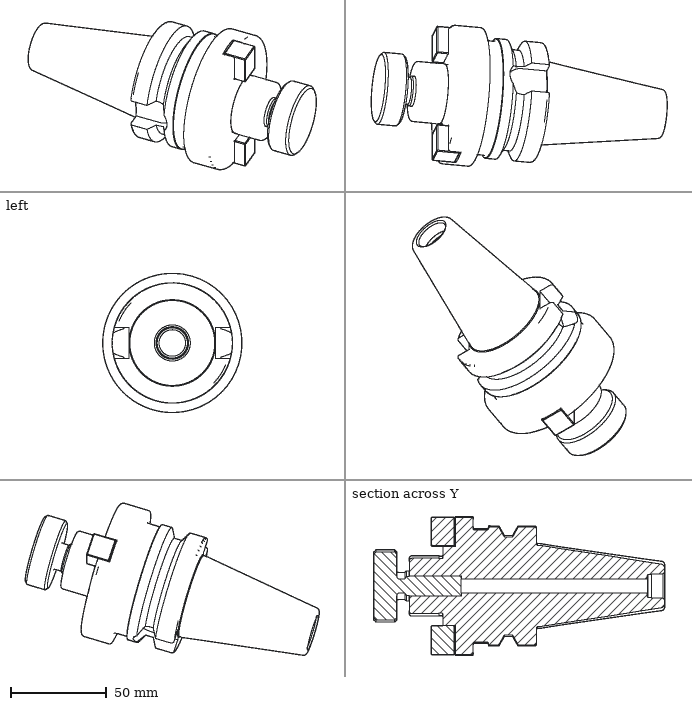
import cadquery as cq
import math


taper_end_x = 65.2
flange_start_x = 67.0
groove_start_x = 76.8
groove_mid_x = 81.8
flange_end_x = 92.4
disc_start_x = 100.3
disc_end_x = 116.3
spigot_end_x = 133.8

taper_ratio = 7 / 24
gauge_radius = 22.3
taper_small_radius = gauge_radius - taper_end_x * taper_ratio / 2
flange_radius = 31.5
groove_radius = 26.5
collar_radius = 60.0 / 2
disc_radius = 73.0 / 2
spigot_radius = 31.7 / 2
relief_radius = 31.2 / 2
groove_half_angle = math.radians(30)

taper_tip_round = 2.0
round_edge = 1.4
disc_back_round = 0.8
disc_front_round = 1.8
corner_round = 0.8
flange_back_chamfer = 0.3
neck_round = 0.5
relief_length = 2.0

flank_length = (flange_radius - groove_radius) * math.tan(groove_half_angle)
groove_floor_start_x = groove_start_x + flank_length
groove_floor_end_x = 2 * groove_mid_x - groove_floor_start_x
groove_end_x = groove_floor_end_x + flank_length

slot_width = 16.2
slot_end_x = 88.7
slot_floor_y = 22.5

key_start_x = 110.0
key_end_x = 122.4
key_width = 12.5
key_inner_z = 20.7
key_outer_z = 36.1
key_chamfer = 0.5
key_back_gap = 0.5

mouth_diameter = 18.9
counterbore_diameter = 17.0
mouth_chamfer_length = 0.9
counterbore_depth = 6.9
seat_diameter = 16.8
seat_depth = 9.1
seat_chamfer = 0.5
thread_bore_diameter = 13.9

screw_diameter = 15.8
screw_start_x = 106.7
thread_end_x = 135.3
neck_radius = 14.3 / 2
neck_chamfer = screw_diameter / 2 - neck_radius
head_start_x = 140.2
head_end_x = 152.4
head_radius = 38.0 / 2
head_chamfer = 1.2


def cylinder(start_x, end_x, radius):
    """Solid cylinder about the X axis."""
    return cq.Workplane("YZ", origin=(start_x, 0, 0)).circle(radius).extrude(end_x - start_x)


def revolve_about_x(profile):
    return profile.close().revolve(360, (0, 0, 0), (1, 0, 0))


def make_taper():
    taper = revolve_about_x(
        cq.Workplane("XY")
        .lineTo(0, taper_small_radius)
        .lineTo(taper_end_x, gauge_radius)
        .lineTo(flange_start_x, gauge_radius)
        .lineTo(flange_start_x, 0)
    )
    return taper.faces("<X").edges().fillet(taper_tip_round)


def make_flange():
    flange = revolve_about_x(
        cq.Workplane("XY")
        .moveTo(flange_start_x, 0)
        .lineTo(flange_start_x, flange_radius)
        .lineTo(groove_start_x, flange_radius)
        .lineTo(groove_floor_start_x, groove_radius)
        .lineTo(groove_floor_end_x, groove_radius)
        .lineTo(groove_end_x, flange_radius)
        .lineTo(flange_end_x, flange_radius)
        .lineTo(flange_end_x, 0)
    )
    flange = flange.faces("<X").edges().fillet(round_edge)
    return flange.faces(">X").edges().chamfer(flange_back_chamfer)


def make_disc():
    disc = cylinder(disc_start_x, disc_end_x, disc_radius)
    disc = disc.faces("<X").edges().fillet(disc_back_round)
    return disc.faces(">X").edges().fillet(disc_front_round)


def make_spigot():
    relief = cylinder(disc_end_x, disc_end_x + relief_length, relief_radius)
    spigot = cylinder(disc_end_x + relief_length, spigot_end_x, spigot_radius)
    return relief.union(spigot.faces(">X").edges().fillet(round_edge))


def inside_corner(face_x, radius, size, side):
    """Ring that rounds the inside corner between a cylinder and the face at face_x."""
    far_x = face_x + side * size
    middle = size * (1 - math.sqrt(0.5))
    return revolve_about_x(
        cq.Workplane("XY")
        .moveTo(face_x, radius - size)
        .lineTo(face_x, radius + size)
        .threePointArc((face_x + side * middle, radius + middle), (far_x, radius))
        .lineTo(far_x, radius - size)
    )


def make_rear_bore():
    """Counterbore with a chamfered mouth, a seat, then the thread bore up to the screw."""
    return revolve_about_x(
        cq.Workplane("XY")
        .lineTo(0, mouth_diameter / 2)
        .lineTo(mouth_chamfer_length, counterbore_diameter / 2)
        .lineTo(counterbore_depth, counterbore_diameter / 2)
        .lineTo(counterbore_depth, seat_diameter / 2)
        .lineTo(seat_depth - seat_chamfer, seat_diameter / 2)
        .lineTo(seat_depth, seat_diameter / 2 - seat_chamfer)
        .lineTo(seat_depth, thread_bore_diameter / 2)
        .lineTo(screw_start_x, thread_bore_diameter / 2)
        .lineTo(screw_start_x, 0)
    )


def make_gripper_slot(side):
    """Round-ended slot that is open toward the taper, on the side of Y given by its sign."""
    end_centre_x = slot_end_x - slot_width / 2
    slot = (
        cq.Workplane("XZ")
        .moveTo(flange_start_x, -slot_width / 2)
        .lineTo(end_centre_x, -slot_width / 2)
        .threePointArc((slot_end_x, 0), (end_centre_x, slot_width / 2))
        .lineTo(flange_start_x, slot_width / 2)
        .close()
        .extrude(-side * (flange_radius - slot_floor_y))
    )
    return slot.translate((0, side * slot_floor_y, 0))


def make_key_block(side, start_x, outer_z):
    """Block of the key section from start_x to the key end, on the side of Z given by its sign."""
    block = cq.Workplane("XY").box(key_end_x - start_x, key_width, outer_z - key_inner_z)
    return block.translate(((start_x + key_end_x) / 2, 0, side * (key_inner_z + outer_z) / 2))


def make_holder():
    holder = make_taper().union(make_flange())
    holder = holder.union(cylinder(flange_end_x, disc_start_x, collar_radius))
    holder = holder.union(make_disc()).union(make_spigot())
    holder = holder.union(inside_corner(flange_start_x, gauge_radius, neck_round, -1))
    holder = holder.union(inside_corner(flange_end_x, collar_radius, corner_round, 1))
    holder = holder.union(inside_corner(disc_start_x, collar_radius, corner_round, -1))
    holder = holder.union(inside_corner(disc_end_x, relief_radius, neck_round, 1))
    for side in (-1, 1):
        holder = holder.cut(make_gripper_slot(side))
        holder = holder.cut(make_key_block(side, key_start_x - key_back_gap, disc_radius))
    holder = holder.cut(make_rear_bore())
    return holder.cut(cylinder(screw_start_x, spigot_end_x, screw_diameter / 2))


def make_drive_key(side):
    return make_key_block(side, key_start_x, key_outer_z).edges().chamfer(key_chamfer)


def make_clamping_screw():
    thread = cylinder(screw_start_x, thread_end_x + neck_chamfer, screw_diameter / 2)
    thread = thread.faces(">X").edges().chamfer(neck_chamfer)
    neck = cylinder(thread_end_x, head_start_x, neck_radius)
    head = cylinder(head_start_x, head_end_x, head_radius).edges().chamfer(head_chamfer)
    return thread.union(neck).union(head).union(
        inside_corner(head_start_x, neck_radius, corner_round, -1)
    )


holder = make_holder()
drive_keys = [make_drive_key(side) for side in (-1, 1)]
clamping_screw = make_clamping_screw()

result = cq.Compound.makeCompound(
    [holder.val(), *[key.val() for key in drive_keys], clamping_screw.val()]
)